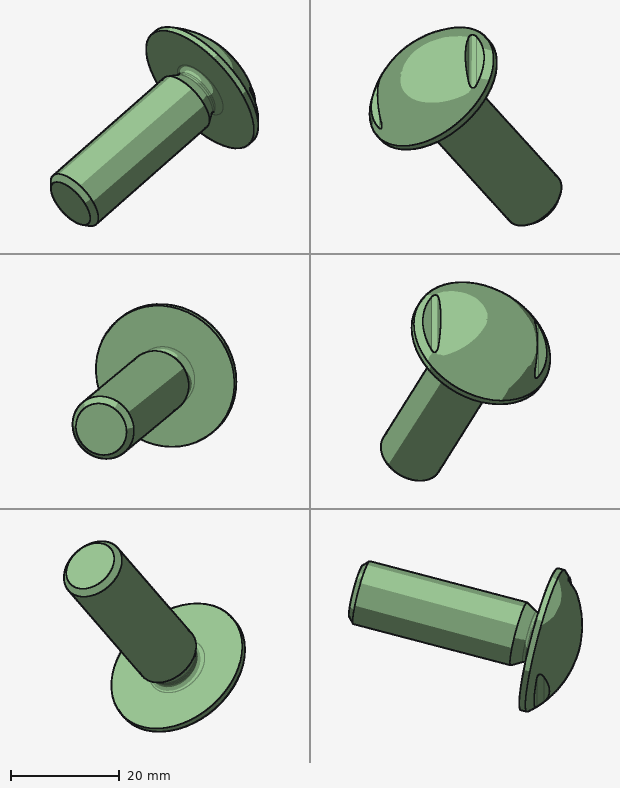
import cadquery as cq
import math

total_length = 42.5
head_diameter = 27.0
head_height = 7.5
rim_thickness = 1.2
shank_diameter = 12.0
neck_diameter = 9.4
neck_fillet = 1.0
neck_cone_angle = math.radians(30)
shank_start = 3.9
tip_chamfer = 1.05
flat_spacing = 19.1
step_height = 2.5
step_fillet = 1.0

head_radius = head_diameter / 2
shank_radius = shank_diameter / 2
neck_radius = neck_diameter / 2
tip_y = head_height - total_length

cone_length = (shank_radius - neck_radius) / math.tan(neck_cone_angle)
blend_setback = neck_fillet * math.tan(neck_cone_angle / 2)
blend_start_y = cone_length - shank_start + blend_setback
blend_end_x = neck_radius + neck_fillet * (1 - math.cos(neck_cone_angle))
blend_end_y = blend_start_y - neck_fillet * math.sin(neck_cone_angle)

dome_rise = head_height - rim_thickness
dome_radius = (head_radius**2 + dome_rise**2) / (2 * dome_rise)
dome_center_y = head_height - dome_radius
dome_mid_x = head_radius / 2
dome_mid_y = dome_center_y + math.sqrt(dome_radius**2 - dome_mid_x**2)


def make_screw():
    """Revolve the half profile of head, neck and shank about Y."""
    profile = (
        cq.Workplane("XY")
        .moveTo(0, tip_y)
        .lineTo(shank_radius - tip_chamfer, tip_y)
        .lineTo(shank_radius, tip_y + tip_chamfer)
        .lineTo(shank_radius, -shank_start)
        .lineTo(blend_end_x, blend_end_y)
        .radiusArc((neck_radius, blend_start_y), neck_fillet)
        .lineTo(neck_radius, -neck_fillet)
        .radiusArc((neck_radius + neck_fillet, 0), neck_fillet)
        .lineTo(head_radius, 0)
        .lineTo(head_radius, rim_thickness)
        .threePointArc((dome_mid_x, dome_mid_y), (0, head_height))
        .close()
    )
    return profile.revolve(360, (0, 0, 0), (0, 1, 0))


def make_step_cutter(side):
    """Block that leaves a flat and a filleted step on the side (-1 or +1) of the head."""
    flat_x = flat_spacing / 2
    block = (
        cq.Workplane("XY")
        .box(head_radius, head_height, head_diameter, centered=(False, False, True))
        .edges("<X and <Y")
        .fillet(step_fillet)
        .translate((flat_x, step_height, 0))
    )
    return block if side > 0 else block.mirror("YZ")


result = make_screw()
for side in (-1, 1):
    result = result.cut(make_step_cutter(side))